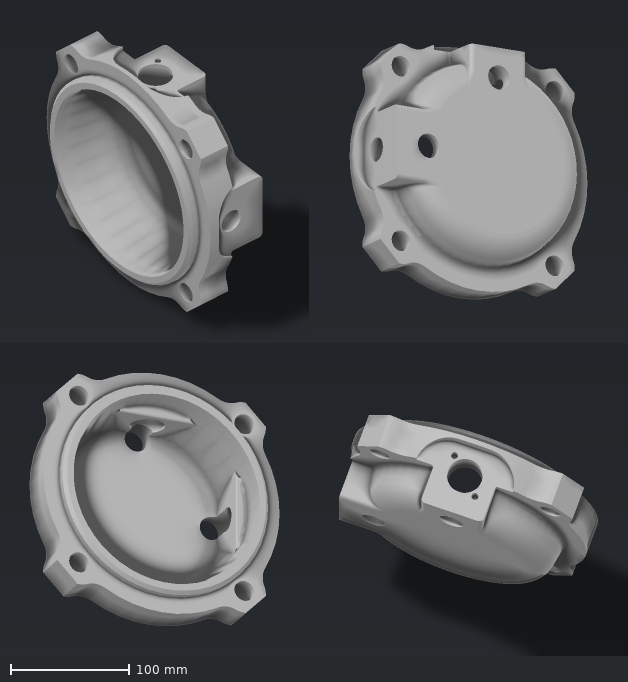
import cadquery as cq
import math

total_depth = 74.0
spigot_length = 10.5
flange_thickness = 29.5
flange_back = spigot_length + flange_thickness

flange_radius = 109.0
bolt_circle_radius = 108.0
bolt_hole_diameter = 18.0
lug_radius = 20.0
lug_blend_radius = 20.0
lug_flat_distance = 123.0
lug_angles = (45, 135, 225, 315)

spigot_radius = 95.0
spigot_chamfer = 3.0

draft = math.radians(10.0)
opening_radius = 86.0
wall = 10.0
floor_y = total_depth - wall
cavity_fillet = 10.0
dome_fillet = cavity_fillet + wall
dome_root_radius = opening_radius - flange_back * math.tan(draft) + wall / math.cos(draft)
dome_root_fillet = 4.0

top_boss_width = 55.5
side_boss_width = 65.0
top_face_distance = 95.7
side_face_distance = 100.7
boss_corner_fillet = 4.0
boss_root_fillet = 2.0
top_flat_width = 87.0
side_flat_width = 76.0
top_flat_front = 14.6
side_flat_front = 20.0
flat_corner_radius = 28.0

pad_distance = 73.0
pad_front = 20.0
pad_fillet = 2.0

port_y = flange_back
top_port_diameter = 30.0
side_port_diameter = 21.0
screw_offset = 14.2
screw_diameter = 6.0
screw_depth = 12.0
drill_tip_half_angle = math.radians(59.0)
axial_port_distance = 69.7
axial_port_diameter = 21.2

stock_radius = lug_flat_distance + lug_radius
boss_stock_height = lug_flat_distance
tolerance = 0.01


def disc(radius, y_start, y_end):
    """Cylinder about the Y axis."""
    return cq.Workplane("XZ", origin=(0, y_start, 0)).circle(radius).extrude(y_start - y_end)


def polar(center, radius, angle):
    return (center[0] + radius * math.cos(angle), center[1] + radius * math.sin(angle))


def mirrored(point):
    return (point[0], -point[1])


def turn(shape, degrees):
    """Rotate about the cover axis; 90 degrees takes +Z to +X."""
    return shape.rotate((0, 0, 0), (0, 1, 0), degrees)


def make_lug():
    """Lug pointing along +X: a bolt circle boss blended into the flange rim, with a flat tip."""
    hole = (bolt_circle_radius, 0)
    rim_to_blend = flange_radius + lug_blend_radius
    lug_to_blend = lug_radius + lug_blend_radius
    cos_angle = (bolt_circle_radius**2 + rim_to_blend**2 - lug_to_blend**2) / (
        2 * bolt_circle_radius * rim_to_blend
    )
    rim_angle = math.acos(cos_angle)
    blend = polar((0, 0), rim_to_blend, rim_angle)
    side_angle = math.atan2(blend[1], blend[0] - bolt_circle_radius)
    blend_middle_angle = math.pi + (rim_angle + side_angle) / 2
    tip_angle = math.acos((lug_flat_distance - bolt_circle_radius) / lug_radius)

    rim_point = polar((0, 0), flange_radius, rim_angle)
    blend_middle = polar(blend, lug_blend_radius, blend_middle_angle)
    side_point = polar(hole, lug_radius, side_angle)
    side_middle = polar(hole, lug_radius, (side_angle + tip_angle) / 2)
    tip_point = polar(hole, lug_radius, tip_angle)
    return (
        cq.Workplane("XZ", origin=(0, spigot_length, 0))
        .lineTo(*rim_point)
        .threePointArc(blend_middle, side_point)
        .threePointArc(side_middle, tip_point)
        .lineTo(*mirrored(tip_point))
        .threePointArc(mirrored(side_middle), mirrored(side_point))
        .threePointArc(mirrored(blend_middle), mirrored(rim_point))
        .close()
        .extrude(-flange_thickness)
    )


def make_flange_outline():
    outline = disc(flange_radius, spigot_length, flange_back)
    lug = make_lug()
    for angle in lug_angles:
        outline = outline.union(turn(lug, angle))
    return outline


def make_drafted_bowl(rim_y, rim_radius, end_y, fillet):
    """Solid cup that narrows with the draft from its rim to a filleted flat end."""
    end_radius = rim_radius - (end_y - rim_y) * math.tan(draft)
    bowl = (
        cq.Workplane("XY")
        .moveTo(0, rim_y)
        .lineTo(rim_radius, rim_y)
        .lineTo(end_radius, end_y)
        .lineTo(0, end_y)
        .close()
        .revolve(360, (0, 0, 0), (0, 1, 0))
    )
    return bowl.faces(">Y").edges().fillet(fillet)


def make_dome_on_stock():
    """Dome blended into an oversize flange blank."""
    stock = disc(stock_radius, spigot_length, flange_back)
    body = stock.union(make_drafted_bowl(flange_back, dome_root_radius, total_depth, dome_fillet))
    reach = dome_root_radius + tolerance
    root = cq.selectors.BoxSelector(
        (-reach, flange_back - tolerance, -reach),
        (reach, flange_back + tolerance, reach),
        boundingbox=True,
    )
    return body.edges(root).fillet(dome_root_fillet)


def side_plane_selector(x, y_end):
    """Edges centred in the plane of a boss side, up to y_end and short of the boss top."""
    return cq.selectors.BoxSelector(
        (x - tolerance, flange_back - tolerance, 0),
        (x + tolerance, y_end, boss_stock_height - tolerance),
    )


def add_boss(body, width):
    """Add a boss on the +Z side, blend its foot and round its back corners."""
    half_width = width / 2
    boss = cq.Workplane("XY", origin=(0, flange_back, 0)).box(
        width, total_depth - flange_back, boss_stock_height, centered=(True, False, False)
    )
    body = body.union(boss)
    left_root = side_plane_selector(-half_width, total_depth - tolerance)
    right_root = side_plane_selector(half_width, total_depth - tolerance)
    body = body.edges(left_root + right_root).fillet(boss_root_fillet)
    left_side = side_plane_selector(-half_width, total_depth + tolerance)
    right_side = side_plane_selector(half_width, total_depth + tolerance)
    return body.edges("|Z and >Y").edges(left_side + right_side).fillet(boss_corner_fillet)


def cut_flat(body, face_distance, width, front):
    """Trim the +Z boss to its face and carry that face into the flange as a rounded flat."""
    flat_length = 2 * (flange_back - front)
    flat = (
        cq.Workplane("XY", origin=(0, front + flat_length / 2, face_distance))
        .rect(width, flat_length)
        .extrude(stock_radius)
        .edges("|Z and <Y")
        .fillet(flat_corner_radius)
    )
    above_boss = cq.Workplane("XY", origin=(0, flange_back, face_distance)).box(
        2 * stock_radius, total_depth, stock_radius, centered=(True, False, False)
    )
    return body.cut(flat).cut(above_boss)


def make_pad():
    """Block on the +Z side that is left standing in the cavity."""
    return cq.Workplane("XY", origin=(0, pad_front, pad_distance)).box(
        2 * opening_radius, total_depth, opening_radius, centered=(True, False, False)
    )


def make_cavity():
    cavity = make_drafted_bowl(0, opening_radius, floor_y, cavity_fillet)
    pad = make_pad()
    cavity = cavity.cut(pad).cut(turn(pad, 90))
    pad_front_edges = cq.selectors.BoxSelector(
        (-opening_radius, pad_front - tolerance, -opening_radius),
        (opening_radius, pad_front + tolerance, opening_radius),
        boundingbox=True,
    )
    return cavity.edges(pad_front_edges).fillet(pad_fillet)


def make_radial_port(diameter):
    """Port along +Z, from inside the cavity out through the boss."""
    start = pad_distance / 2
    return (
        cq.Workplane("XY", origin=(0, port_y, start)).circle(diameter / 2).extrude(stock_radius - start)
    )


def make_axial_port():
    """Port parallel to the cover axis, from the radial port out through the back."""
    return disc(axial_port_diameter / 2, port_y, total_depth).translate((0, 0, axial_port_distance))


def make_screw_hole():
    """Blind hole down from the top boss face, ending in a drill tip."""
    radius = screw_diameter / 2
    tip_length = radius / math.tan(drill_tip_half_angle)
    return (
        cq.Workplane("XZ")
        .lineTo(radius, 0)
        .lineTo(radius, -screw_depth)
        .lineTo(0, -screw_depth - tip_length)
        .close()
        .revolve(360, (0, 0, 0), (0, 1, 0))
        .translate((0, port_y, top_face_distance))
    )


flange_outline = make_flange_outline()
body = make_dome_on_stock()
body = add_boss(body, top_boss_width)
body = turn(add_boss(turn(body, -90), side_boss_width), 90)
body = body.intersect(flange_outline.union(disc(stock_radius, flange_back, total_depth)))
body = cut_flat(body, top_face_distance, top_flat_width, top_flat_front)
body = turn(cut_flat(turn(body, -90), side_face_distance, side_flat_width, side_flat_front), 90)
spigot = disc(spigot_radius, 0, spigot_length).faces("<Y").edges().chamfer(spigot_chamfer)
body = body.union(spigot)

body = body.cut(make_cavity())
body = body.cut(make_radial_port(top_port_diameter))
body = body.cut(turn(make_radial_port(side_port_diameter), 90))
axial_port = make_axial_port()
body = body.cut(axial_port).cut(turn(axial_port, 90))

screw_hole = make_screw_hole()
for side in (-1, 1):
    body = body.cut(screw_hole.translate((side * screw_offset, -side * screw_offset, 0)))
bolt_hole = disc(bolt_hole_diameter / 2, spigot_length, flange_back).translate((bolt_circle_radius, 0, 0))
for angle in lug_angles:
    body = body.cut(turn(bolt_hole, angle))

result = body